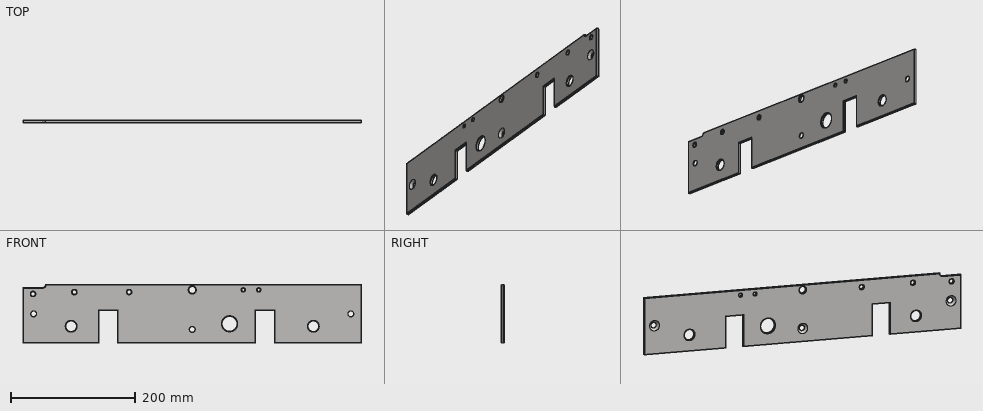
import cadquery as cq

LENGTH = 544.0
THICKNESS = 5.0
HEIGHT = 94.0
LEFT = -LENGTH / 2
RIGHT = LENGTH / 2
BOTTOM = -HEIGHT / 2
TOP = HEIGHT / 2
BACK = THICKNESS / 2

EDGE_CHAMFER = 1.0

STEP_LENGTH = 36.0
STEP_DEPTH = 5.0

SLOT_WIDTH = 30.0
SLOT_TOP = 5.0
SLOT_CENTRES_X = (-135.0, 117.0)

COUNTERSINK_DEPTH = 4.0
END_HOLE_DIAMETER = 9.0
END_HOLE_X = 255.0
END_HOLES = ((-END_HOLE_X, 0.0), (END_HOLE_X, 0.0))

LOWER_CENTRE_HOLE_DIAMETER = 9.0
LOWER_CENTRE_HOLES = ((0.0, -25.0),)

UPPER_CENTRE_HOLE_DIAMETER = 11.0
UPPER_CENTRE_HOLES = ((0.0, 38.5),)

SIDE_BORE_DIAMETER = 17.0
SIDE_BORE_X = 194.75
SIDE_BORE_Z = -20.0
SIDE_BORES = ((-SIDE_BORE_X, SIDE_BORE_Z), (SIDE_BORE_X, SIDE_BORE_Z))

LARGE_BORE_DIAMETER = 24.0
LARGE_BORES = ((60.0, -16.0),)

PIN_HOLE_DIAMETER = 5.0
PIN_HOLE_Z = 38.5
PIN_HOLES = ((82.0, PIN_HOLE_Z), (107.0, PIN_HOLE_Z))

SCREW_HOLE_DIAMETER = 7.0
SCREW_ROW_Z = 35.0
SCREW_HOLES = ((-256.0, 32.0), (-189.5, SCREW_ROW_Z), (-101.5, SCREW_ROW_Z))


def make_plate():
    """Stepped plate outline centred on Y = 0."""
    step_x = LEFT + STEP_LENGTH
    step_z = TOP - STEP_DEPTH
    outline = (
        cq.Workplane("XZ", origin=(0, BACK, 0))
        .moveTo(LEFT, BOTTOM)
        .lineTo(RIGHT, BOTTOM)
        .lineTo(RIGHT, TOP)
        .lineTo(step_x, TOP)
        .radiusArc((step_x - STEP_DEPTH, step_z), STEP_DEPTH)
        .lineTo(LEFT, step_z)
        .close()
    )
    return outline.extrude(THICKNESS)


def cut_slot(plate, centre_x):
    """Cut one slot upward from the bottom edge."""
    depth = SLOT_TOP - BOTTOM
    slot = cq.Workplane("XY").box(SLOT_WIDTH, THICKNESS, depth)
    return plate.cut(slot.translate((centre_x, 0, BOTTOM + depth / 2)))


def cut_holes(plate, diameter, centres):
    """Drill round holes through the thickness at (x, z) centres."""
    drills = (
        cq.Workplane("XZ", origin=(0, BACK, 0))
        .pushPoints(centres)
        .circle(diameter / 2)
        .extrude(THICKNESS)
    )
    return plate.cut(drills)


def countersink_back(plate, diameter, centres):
    """Countersink holes from the back (+Y) face at (x, z) centres."""
    for x, z in centres:
        cone = cq.Solid.makeCone(
            diameter / 2 + COUNTERSINK_DEPTH,
            diameter / 2,
            COUNTERSINK_DEPTH,
            pnt=cq.Vector(x, BACK, z),
            dir=cq.Vector(0, -1, 0),
        )
        plate = plate.cut(cq.Workplane(cone))
    return plate


result = make_plate()
for slot_x in SLOT_CENTRES_X:
    result = cut_slot(result, slot_x)

for hole_diameter, hole_centres in (
    (UPPER_CENTRE_HOLE_DIAMETER, UPPER_CENTRE_HOLES),
    (SIDE_BORE_DIAMETER, SIDE_BORES),
    (LARGE_BORE_DIAMETER, LARGE_BORES),
    (PIN_HOLE_DIAMETER, PIN_HOLES),
    (SCREW_HOLE_DIAMETER, SCREW_HOLES),
):
    result = cut_holes(result, hole_diameter, hole_centres)

result = result.faces("<Y or >Y").edges().chamfer(EDGE_CHAMFER)

for hole_diameter, hole_centres in (
    (END_HOLE_DIAMETER, END_HOLES),
    (LOWER_CENTRE_HOLE_DIAMETER, LOWER_CENTRE_HOLES),
):
    result = cut_holes(result, hole_diameter, hole_centres)
    result = countersink_back(result, hole_diameter, hole_centres)